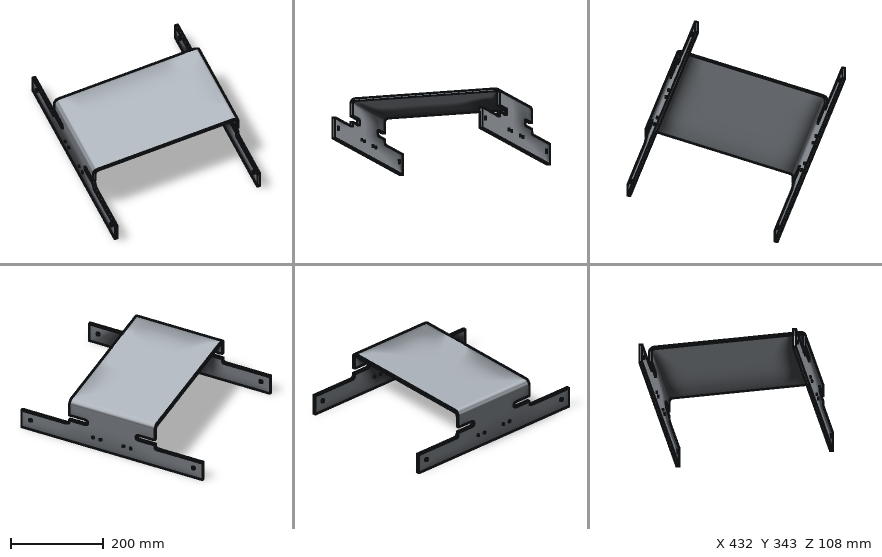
import cadquery as cq

length = 432.0
depth = 343.0
height = 108.0
sheet = 6.0

bend_outer_radius = 12.5
bend_inner_radius = bend_outer_radius - sheet

panel_width = 204.2
rail_height = 45.0
corner_radius = 6.0

slot_width = 14.0
slot_center_z = 63.0
slot_end_x = 57.0

rail_hole_diameter = 7.0
rail_hole_x = length / 2 - 21.5
rail_hole_z = 25.0
small_hole_diameter = 3.97
small_hole_xs = (27.0, 45.0)
small_hole_z = 28.0


def bent_sheet():
    """U-shaped sheet spanning the full length, open at the bottom."""
    outer = (
        cq.Workplane("XY")
        .box(length, depth, height, centered=(True, True, False))
        .edges("|X and >Z")
        .fillet(bend_outer_radius)
    )
    inner = (
        cq.Workplane("XY")
        .box(length, depth - 2 * sheet, height - sheet, centered=(True, True, False))
        .edges("|X and >Z")
        .fillet(bend_inner_radius)
    )
    return outer.cut(inner)


def side_profile():
    """Inverted T outline extruded through both side plates."""
    rail = cq.Workplane("XY").box(length, depth, rail_height, centered=(True, True, False))
    panel = cq.Workplane("XY").box(panel_width, depth, height, centered=(True, True, False))
    half_panel = panel_width / 2
    inside_corners = cq.selectors.BoxSelector(
        (-half_panel - corner_radius, -depth, rail_height - corner_radius),
        (half_panel + corner_radius, depth, rail_height + corner_radius),
    )
    return rail.union(panel).edges("|Y").edges(inside_corners).fillet(corner_radius)


def edge_slot(side):
    """Round-ended slot running in from one edge; side is -1 or 1."""
    outer_end_x = panel_width / 2 + slot_width
    slot_length = outer_end_x - slot_end_x
    slot_center_x = side * (outer_end_x + slot_end_x) / 2
    return (
        cq.Workplane("XZ")
        .center(slot_center_x, slot_center_z)
        .slot2D(slot_length, slot_width)
        .extrude(depth / 2, both=True)
    )


def through_holes(diameter, distances, z):
    """Mirrored pairs of holes passing through both side plates."""
    centers = [(side * x, z) for x in distances for side in (-1, 1)]
    return (
        cq.Workplane("XZ")
        .pushPoints(centers)
        .circle(diameter / 2)
        .extrude(depth / 2, both=True)
    )


result = bent_sheet().intersect(side_profile())
for edge in (-1, 1):
    result = result.cut(edge_slot(edge))
result = result.cut(through_holes(rail_hole_diameter, (rail_hole_x,), rail_hole_z))
result = result.cut(through_holes(small_hole_diameter, small_hole_xs, small_hole_z))